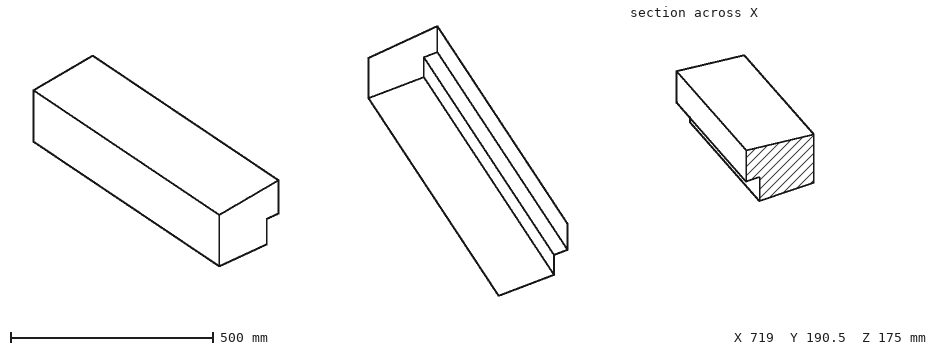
import cadquery as cq

length = 719.0
depth = 190.5
back_height = 175.0

front_height = 153.0
notch_depth = 37.5
notch_height = 75.5

profile = [
    (0, 0),
    (depth - notch_depth, 0),
    (depth - notch_depth, notch_height),
    (depth, notch_height),
    (depth, back_height),
    (0, front_height),
]

result = cq.Workplane("YZ").polyline(profile).close().extrude(length)